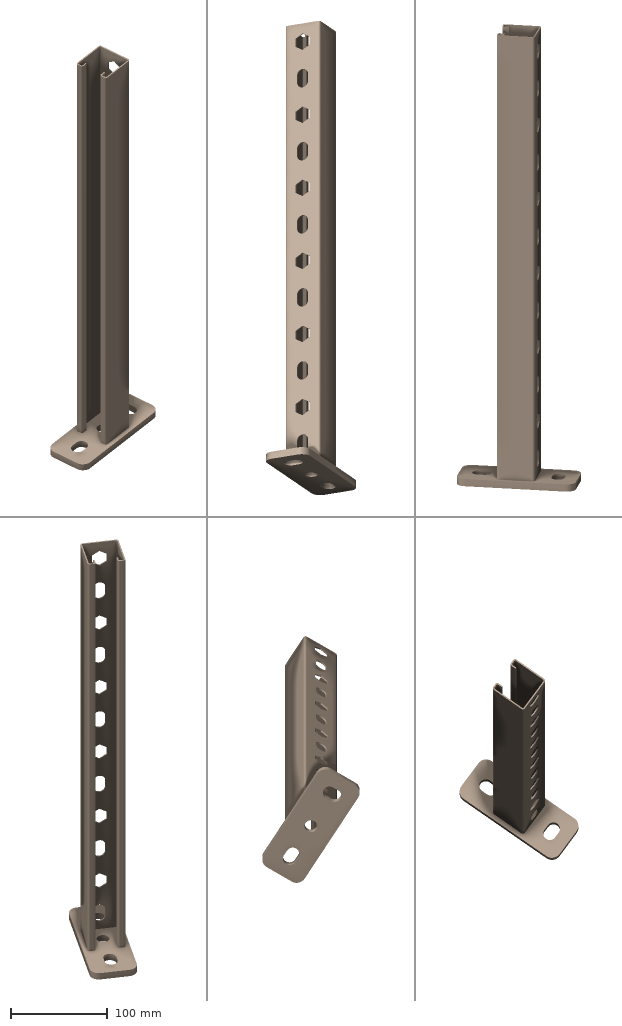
import cadquery as cq
import math

total_height = 488.0
plate_width = 50.0
plate_length = 125.0
plate_thickness = 8.0
plate_corner_radius = 10.0

bolt_hole_diameter = 13.0
plate_slot_width = 13.5
plate_slot_length = 20.0
cross_slot_y = 41.5
long_slot_y = -39.0

channel_size = 40.0
wall = 1.5
bend_radius = 2.5
mouth_width = 23.0
lip_depth = 7.5
half_size = channel_size / 2
channel_length = total_height - plate_thickness

hole_count = 12
hole_pitch = channel_length / hole_count
back_slot_width = 12.5
back_slot_length = 20.0
hexagon_across_flats = 15.5


def make_base_plate():
    """Rounded plate resting on Z = 0, with a bolt hole and two crossed slots."""
    plate = (
        cq.Workplane("XY")
        .rect(plate_width, plate_length)
        .extrude(plate_thickness)
        .edges("|Z")
        .fillet(plate_corner_radius)
    )
    bolt_hole = cq.Workplane("XY").circle(bolt_hole_diameter / 2).extrude(plate_thickness)
    cross_slot = (
        cq.Workplane("XY")
        .center(0, cross_slot_y)
        .slot2D(plate_slot_length, plate_slot_width)
        .extrude(plate_thickness)
    )
    long_slot = (
        cq.Workplane("XY")
        .center(0, long_slot_y)
        .slot2D(plate_slot_length, plate_slot_width, 90)
        .extrude(plate_thickness)
    )
    return plate.cut(bolt_hole).cut(cross_slot).cut(long_slot)


def make_square_channel():
    """Lipped channel with sharp bends, standing on the base plate."""
    mouth_edge = mouth_width / 2
    lip_end = lip_depth - half_size
    right_half = [
        (0, half_size),
        (half_size, half_size),
        (half_size, -half_size),
        (mouth_edge, -half_size),
        (mouth_edge, lip_end),
        (mouth_edge + wall, lip_end),
        (mouth_edge + wall, wall - half_size),
        (half_size - wall, wall - half_size),
        (half_size - wall, half_size - wall),
        (0, half_size - wall),
    ]
    left_half = [(-x, y) for x, y in reversed(right_half[1:-1])]
    return (
        cq.Workplane("XY", origin=(0, 0, plate_thickness))
        .polyline(right_half + left_half)
        .close()
        .extrude(channel_length)
    )


def round_bends(channel):
    """Give each bend its outer radius and the matching inner radius."""
    mouth_edge = mouth_width / 2
    middle_z = plate_thickness + channel_length / 2
    bends = [
        ((half_size, half_size), (-1, -1)),
        ((half_size, -half_size), (-1, 1)),
        ((mouth_edge, -half_size), (1, 1)),
    ]
    for (x, y), (inward_x, inward_y) in bends:
        for side in (-1, 1):
            outer = (side * x, y, middle_z)
            inner = (side * (x + inward_x * wall), y + inward_y * wall, middle_z)
            channel = channel.edges(cq.NearestToPointSelector(outer)).fillet(bend_radius)
            channel = channel.edges(cq.NearestToPointSelector(inner)).fillet(bend_radius - wall)
    return channel


def make_channel():
    """Rounded channel with a row of holes in its back wall, starting with a slot at the bottom."""
    channel = round_bends(make_square_channel())
    hexagon_across_corners = hexagon_across_flats / math.cos(math.pi / 6)
    for index in range(hole_count):
        hole_z = plate_thickness + (index + 0.5) * hole_pitch
        hole = cq.Workplane("XZ", origin=(0, 0, hole_z))
        if index % 2 == 0:
            hole = hole.slot2D(back_slot_length, back_slot_width, 90)
        else:
            hole = hole.transformed(rotate=(0, 0, 90)).polygon(6, hexagon_across_corners)
        channel = channel.cut(hole.extrude(-channel_size))
    return channel


base_plate = make_base_plate()
channel = make_channel()

result = cq.Compound.makeCompound([base_plate.val(), channel.val()])